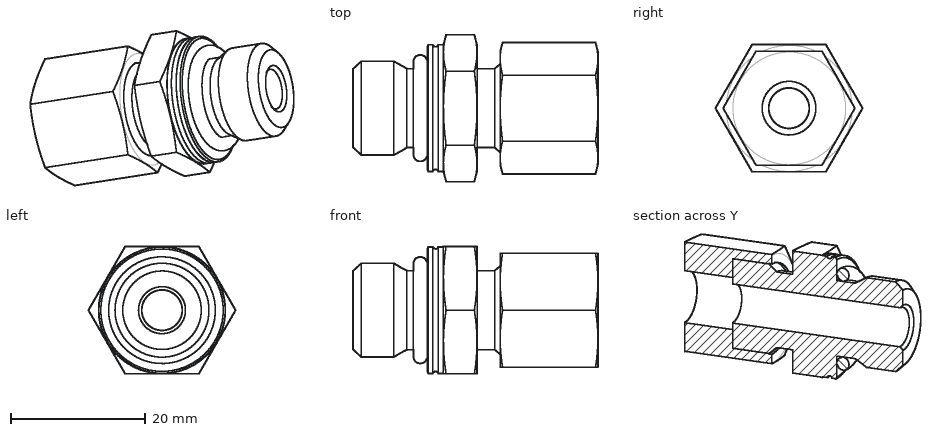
import cadquery as cq
import math

tip_chamfer_end = 1.25
thread_end = 6.1
relief_start = 8.05
seal_start = 9.0
flange_start = 11.05
hex_start = 13.45
hex_end = 18.5
union_cone_start = 21.1
nut_start = 21.9
body_end = 28.5
nut_end = 36.5

thread_radius = 7.0
tip_radius = 5.85
neck_radius = 5.9
flange_radius = 9.45
union_radius = 7.0
union_cone_angle = math.radians(40)
bore_radius = 3.0
bore_chamfer = 0.5

flange_chamfer_depth = 0.33
flange_chamfer_length = flange_chamfer_depth * math.tan(math.pi / 6)
groove_start = 11.9
groove_end = 12.7
groove_depth = 0.3

ring_section_radius = (flange_start - seal_start) / 2
ring_mean_radius = neck_radius + ring_section_radius

body_hex_flats = 19.0
nut_hex_flats = 17.0
corner_angle = math.radians(15)
chamfer_inset = 0.1

tube_radius = 4.0


def revolve_about_x(profile):
    """Turn a closed profile, drawn as (x, radius), about the X axis."""
    return profile.close().revolve(360, (0, 0, 0), (1, 0, 0))


def x_cylinder(start, end, radius):
    """Solid cylinder along the X axis."""
    return cq.Workplane("YZ", origin=(start, 0, 0)).circle(radius).extrude(end - start)


def chamfered_hex(start, end, flats):
    """Hexagonal prism along X, flats at top and bottom, corners turned to a cone at both ends."""
    corner_radius = flats / 2 / math.cos(math.pi / 6)
    face_radius = flats / 2 - chamfer_inset
    setback = (corner_radius - face_radius) * math.tan(corner_angle)
    prism = cq.Workplane("YZ", origin=(start, 0, 0)).polygon(6, 2 * corner_radius).extrude(end - start)
    envelope = revolve_about_x(
        cq.Workplane("XY")
        .moveTo(start, 0)
        .lineTo(start, face_radius)
        .lineTo(start + setback, corner_radius)
        .lineTo(end - setback, corner_radius)
        .lineTo(end, face_radius)
        .lineTo(end, 0)
    )
    return prism.intersect(envelope)


def make_union_end():
    """Solid neck, cone and plug behind the hexagon, not yet bored."""
    union_cone_end = union_cone_start + (union_radius - neck_radius) / math.tan(union_cone_angle)
    return revolve_about_x(
        cq.Workplane("XY")
        .moveTo(hex_end, 0)
        .lineTo(hex_end, neck_radius)
        .lineTo(union_cone_start, neck_radius)
        .lineTo(union_cone_end, union_radius)
        .lineTo(body_end, union_radius)
        .lineTo(body_end, 0)
    )


def make_body():
    """Stud, flange, hexagon and union end with a through bore."""
    stud = revolve_about_x(
        cq.Workplane("XY")
        .moveTo(0, 0)
        .lineTo(0, tip_radius)
        .lineTo(tip_chamfer_end, thread_radius)
        .lineTo(thread_end, thread_radius)
        .lineTo(relief_start, neck_radius)
        .lineTo(hex_start, neck_radius)
        .lineTo(hex_start, 0)
    )
    groove_middle = (groove_start + groove_end) / 2
    flange = revolve_about_x(
        cq.Workplane("XY")
        .moveTo(flange_start, 0)
        .lineTo(flange_start, flange_radius - flange_chamfer_depth)
        .lineTo(flange_start + flange_chamfer_length, flange_radius)
        .lineTo(groove_start, flange_radius)
        .threePointArc((groove_middle, flange_radius - groove_depth), (groove_end, flange_radius))
        .lineTo(hex_start, flange_radius)
        .lineTo(hex_start, 0)
    )
    bore = revolve_about_x(
        cq.Workplane("XY")
        .moveTo(0, 0)
        .lineTo(0, bore_radius + bore_chamfer)
        .lineTo(bore_chamfer, bore_radius)
        .lineTo(body_end, bore_radius)
        .lineTo(body_end, 0)
    )
    hexagon = chamfered_hex(hex_start, hex_end, body_hex_flats)
    return stud.union(flange).union(hexagon).union(make_union_end()).cut(bore)


def make_seal_ring():
    """O-ring seated on the neck against the flange."""
    section = cq.Workplane("XY").center(flange_start - ring_section_radius, ring_mean_radius)
    return section.circle(ring_section_radius).revolve(
        360, (0, -ring_mean_radius, 0), (1, -ring_mean_radius, 0)
    )


def make_nut():
    """Union nut: socket fitting the body's end, then a smaller tube hole."""
    nut = chamfered_hex(nut_start, nut_end, nut_hex_flats)
    socket = x_cylinder(nut_start, body_end, union_radius)
    tube_hole = x_cylinder(body_end, nut_end, tube_radius)
    return nut.cut(socket).cut(tube_hole)


body = make_body()
seal_ring = make_seal_ring()
nut = make_nut()

result = cq.Compound.makeCompound([body.val(), seal_ring.val(), nut.val()])